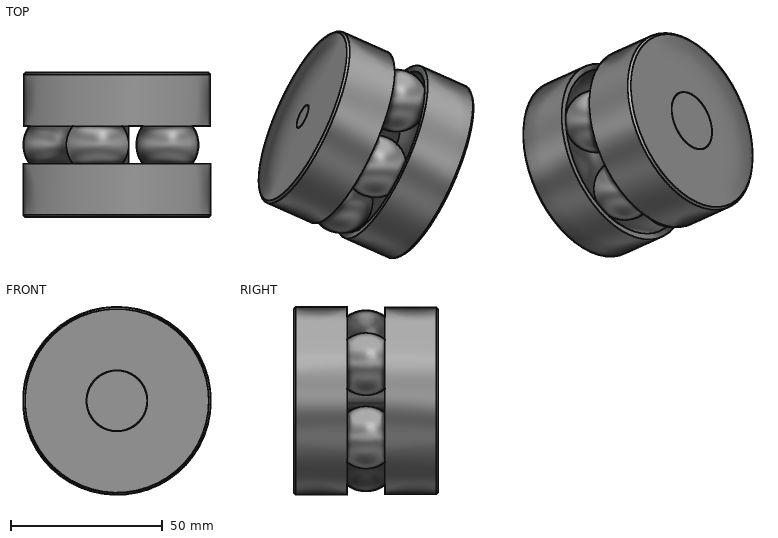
import cadquery as cq
import math

front_plate_diameter = 61.9
back_plate_diameter = 61.55
total_length = 47.6
plate_gap = 12.4
plate_chamfer = 0.75

ball_count = 5
ball_radius = 10.3
pitch_radius = 20.55
ball_spacing = 360 / ball_count
first_ball_angle = ball_spacing / 2

shaft_diameter = 7.9
shaft_hole_diameter = 8.2
head_diameter = 19.9
head_recess_diameter = 20.1
head_thickness = 7.9

half_length = total_length / 2
half_gap = plate_gap / 2


def rod(diameter, y_start, y_end):
    """Cylinder on the Y axis, running from y_start to y_end."""
    return cq.Workplane("XZ", origin=(0, y_end, 0)).circle(diameter / 2).extrude(y_end - y_start)


def ball_race():
    """Ring swept by the balls as they roll around the Y axis."""
    center = cq.Vector(0, 0, 0)
    axis = cq.Vector(0, 1, 0)
    return cq.Workplane(obj=cq.Solid.makeTorus(pitch_radius, ball_radius, center, axis))


def make_back_plate():
    """Plate with a ball race and a through hole for the shaft."""
    plate = rod(back_plate_diameter, half_gap, half_length).faces(">Y").chamfer(plate_chamfer)
    return plate.cut(ball_race()).cut(rod(shaft_hole_diameter, half_gap, half_length))


def make_front_plate():
    """Plate with a ball race, a shaft hole and a recess that takes the pin head."""
    plate = rod(front_plate_diameter, -half_length, -half_gap).faces("<Y").chamfer(plate_chamfer)
    plate = plate.cut(ball_race()).cut(rod(shaft_hole_diameter, -half_length, -half_gap))
    return plate.cut(rod(head_recess_diameter, -half_length, -half_length + head_thickness))


def make_pin():
    """Headed pin that joins both plates and ends flush with their outer faces."""
    head = rod(head_diameter, -half_length, -half_length + head_thickness)
    return head.union(rod(shaft_diameter, -half_length, half_length))


def make_ball(angle):
    """Ball at the given angle around the Y axis, measured from +X toward +Z."""
    x = pitch_radius * math.cos(math.radians(angle))
    z = pitch_radius * math.sin(math.radians(angle))
    return cq.Workplane("XY").sphere(ball_radius).translate((x, 0, z))


back_plate = make_back_plate()
front_plate = make_front_plate()
pin = make_pin()
balls = [make_ball(first_ball_angle + index * ball_spacing) for index in range(ball_count)]

result = cq.Compound.makeCompound(
    [back_plate.val(), front_plate.val(), pin.val(), *[ball.val() for ball in balls]]
)